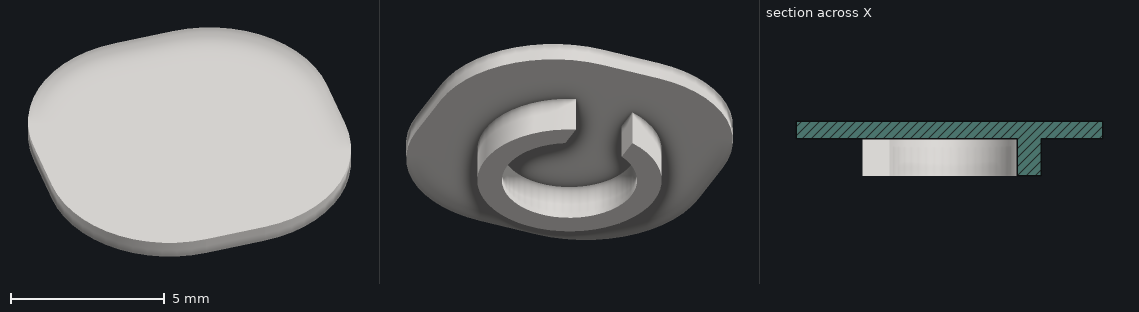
import cadquery as cq

plate_side = 10.0
plate_thickness = 0.6
corner_radius = 4.0

ring_outer_radius = 3.0
ring_inner_radius = 2.2
ring_height = 1.2
gap_width = 2.0


def make_plate():
    plate = cq.Workplane("XY").box(plate_side, plate_side, plate_thickness, centered=(True, True, False))
    return plate.edges("|Z").fillet(corner_radius)


def make_open_ring():
    ring = (
        cq.Workplane("XY")
        .circle(ring_outer_radius)
        .circle(ring_inner_radius)
        .extrude(-ring_height)
    )
    gap = (
        cq.Workplane("XY")
        .center(0, -ring_outer_radius / 2)
        .rect(gap_width, ring_outer_radius)
        .extrude(-ring_height)
    )
    return ring.cut(gap)


result = make_plate().union(make_open_ring())